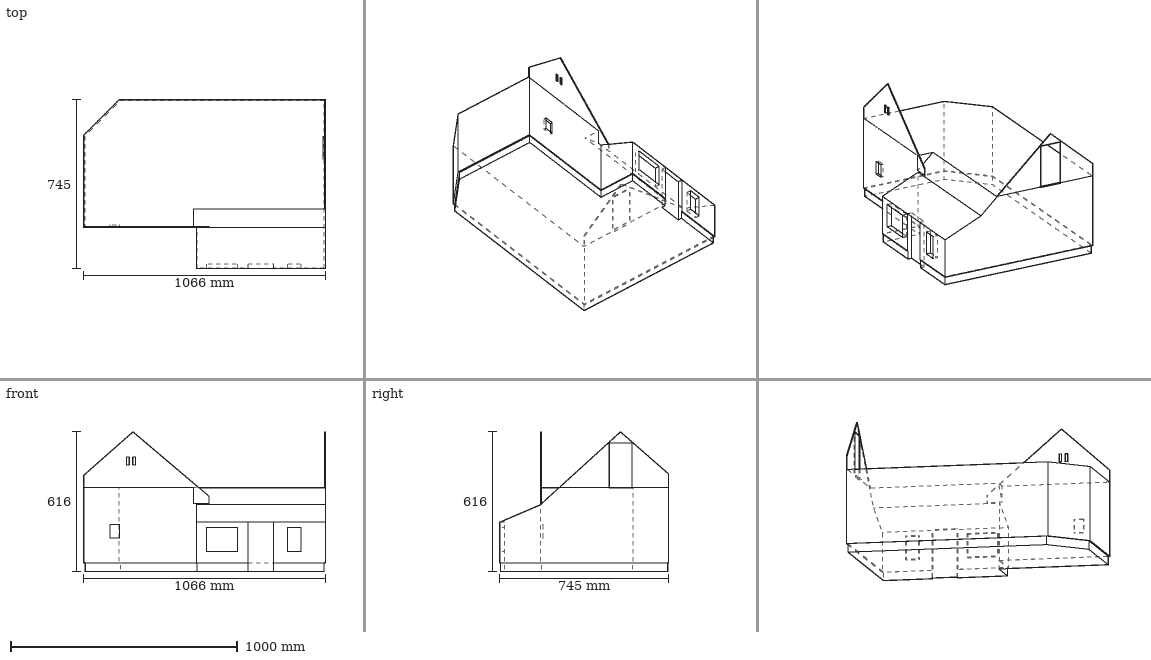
import cadquery as cq

length = 1066.0
house_depth = 564.0
porch_depth = 181.0
ridge_height = 616.0
flat_height = 370.0
corner_cut = 157.0

plinth_height = 38.0
plinth_inset_x = 6.0
plinth_inset_y = 3.0
porch_plinth_inset = 3.0

porch_left = 497.0
porch_top = 295.0
eave_height = 217.0
strip_left = 485.0
strip_depth = 81.0

gable_thickness = 4.0
front_ridge_x = 217.0
front_gable_right = 552.0
front_left_eave = 424.0
front_right_eave = 333.0
side_ridge_y = 352.0
side_back_eave = 431.0

slit_lefts = (190.0, 217.0)
slit_width = 11.0
slit_bottom = 470.0
slit_height = 34.0
small_window_left = 116.0
small_window_width = 43.0
small_window_bottom = 148.0
small_window_height = 60.0
small_window_recess = 11.0
porch_windows = ((542.0, 138.0), (898.0, 60.0))
porch_window_bottom = 88.0
porch_window_height = 106.0
porch_recess = 21.0
door_left = 725.0
door_width = 113.0
side_opening_front = 303.0
side_opening_width = 99.0
side_opening_top = 566.0
sill_depth = 1.0
sill_width = 11.0


def block(x, y, z, dx, dy, dz):
    """Box given by its lowest corner and its sizes."""
    return cq.Workplane("XY").box(dx, dy, dz, centered=False).translate((x, y, z))


def side_profile(points, x_start, x_end):
    """Extrude a closed Y-Z outline from x_start to x_end."""
    outline = cq.Workplane("YZ", origin=(x_start, 0, 0)).polyline(points).close()
    return outline.extrude(x_end - x_start)


def house_block(inset_x, inset_y, bottom, top):
    """Main house footprint with its back-left corner cut off."""
    left = inset_x
    right = length - inset_x
    front = inset_y
    back = house_depth - inset_y
    points = [
        (left, front),
        (right, front),
        (right, back),
        (left + corner_cut, back),
        (left, back - corner_cut),
    ]
    return cq.Workplane("XY", origin=(0, 0, bottom)).polyline(points).close().extrude(top - bottom)


def make_house():
    walls = house_block(0, 0, plinth_height, flat_height)
    strip_points = [(0, porch_top), (strip_depth, flat_height), (0, flat_height)]
    strip_waste = side_profile(strip_points, strip_left, length)
    plinth = house_block(plinth_inset_x, plinth_inset_y, 0, plinth_height)
    return walls.cut(strip_waste).union(plinth)


def make_porch():
    points = [
        (-porch_depth, plinth_height),
        (0, plinth_height),
        (0, porch_top),
        (-porch_depth, eave_height),
    ]
    walls = side_profile(points, porch_left, length)
    plinth_left = porch_left + porch_plinth_inset
    plinth_front = -porch_depth + plinth_inset_y
    plinth = block(
        plinth_left, plinth_front, 0,
        length - plinth_inset_x - plinth_left, 2 * plinth_inset_y - plinth_front, plinth_height,
    )
    return walls.union(plinth)


def make_front_gable():
    points = [
        (0, plinth_height),
        (front_gable_right, plinth_height),
        (front_gable_right, front_right_eave),
        (front_ridge_x, ridge_height),
        (0, front_left_eave),
    ]
    return cq.Workplane("XZ").polyline(points).close().extrude(-gable_thickness)


def make_side_gable():
    points = [
        (strip_depth, plinth_height),
        (house_depth, plinth_height),
        (house_depth, side_back_eave),
        (side_ridge_y, ridge_height),
        (strip_depth, flat_height),
    ]
    return side_profile(points, length - gable_thickness, length)


def cut_openings(body):
    for left in slit_lefts:
        body = body.cut(block(left, 0, slit_bottom, slit_width, gable_thickness, slit_height))
    body = body.cut(block(
        small_window_left, 0, small_window_bottom,
        small_window_width, small_window_recess, small_window_height,
    ))
    for left, width in porch_windows:
        body = body.cut(block(
            left, -porch_depth, porch_window_bottom, width, porch_recess, porch_window_height,
        ))
    body = body.cut(block(door_left, -porch_depth, 0, door_width, porch_recess, eave_height))
    sill_height = flat_height - sill_depth
    return body.cut(block(
        length - sill_width, side_opening_front, sill_height,
        sill_width, side_opening_width, side_opening_top - sill_height,
    ))


house = make_house().union(make_porch()).union(make_front_gable()).union(make_side_gable())
result = cut_openings(house)